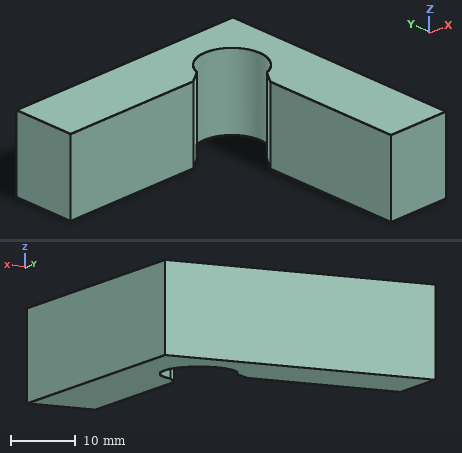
import cadquery as cq
import math

side = 47.0
height = 15.0
arm_width = 12.0
relief_radius = 6.0
chamfer_start = 8.4
chamfer_depth = 1.97

inner = side / 2 - arm_width

chamfer_end = math.sqrt(relief_radius**2 - chamfer_depth**2)
relief_mid = relief_radius / math.sqrt(2)

outline = (
    cq.Workplane("XY")
    .workplane(offset=-height / 2)
    .moveTo(-side / 2, side / 2)
    .lineTo(side / 2, side / 2)
    .lineTo(side / 2, -side / 2)
    .lineTo(inner, -side / 2)
    .lineTo(inner, inner - chamfer_start)
    .lineTo(inner + chamfer_depth, inner - chamfer_end)
    .threePointArc(
        (inner + relief_mid, inner + relief_mid),
        (inner - chamfer_end, inner + chamfer_depth),
    )
    .lineTo(inner - chamfer_start, inner)
    .lineTo(-side / 2, inner)
    .close()
)

result = outline.extrude(height)